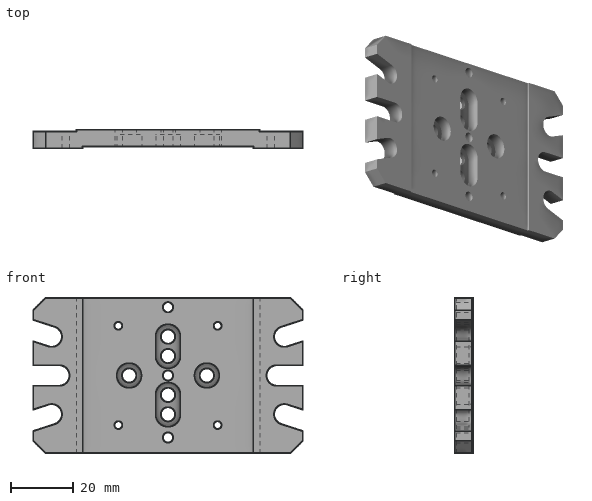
import cadquery as cq

length = 87.0
thickness = 6.0
height = 50.0
corner_chamfer = 4.0

step_depth = 0.5
front_recess_width = 55.0
back_pad_width = 59.2

notch_width = 6.5
middle_notch_inset = 8.4
outer_notch_inset = 6.0
outer_notch_height = 12.5
outer_notch_angle = 18.0

screw_diameter = 4.5
pocket_width = 8.0
pocket_depth = 4.0
screw_offset = 12.5
screw_pitch = screw_offset / 2

small_diameter = 2.4
small_offset = 16.0
pin_diameter = 3.2
upper_pin_height = 22.0
lower_pin_height = -20.0

front_y = -thickness / 2
floor_y = front_y + step_depth
back_y = thickness / 2
cut_length = 2 * thickness


def bar(width, y_start, y_end):
    """Full-height block centred on X between two Y positions."""
    return (
        cq.Workplane("XY")
        .box(width, y_end - y_start, height)
        .translate((0, (y_start + y_end) / 2, 0))
    )


def through_holes(diameter, points):
    """Cylinders along Y passing through the whole plate."""
    return (
        cq.Workplane("XZ")
        .pushPoints(points)
        .circle(diameter / 2)
        .extrude(cut_length / 2, both=True)
    )


def notch(side, inset, z_center, angle):
    """Round-bottomed notch whose axis leaves the end face at the given angle."""
    reach = 2 * inset
    cutter = (
        cq.Workplane("XY")
        .box(reach, cut_length, notch_width)
        .translate((-reach / 2, 0, 0))
        .union(through_holes(notch_width, [(0, 0)]))
        .rotate((0, 0, 0), (0, 1, 0), angle)
        .translate((inset - length / 2, 0, z_center))
    )
    return cutter if side < 0 else cutter.mirror("YZ")


plate = bar(length, front_y, back_y - step_depth)
plate = plate.union(bar(back_pad_width, floor_y, back_y))
plate = plate.edges("|Y").edges("<X or >X").chamfer(corner_chamfer)
plate = plate.cut(bar(front_recess_width, front_y, floor_y))

for side in (-1, 1):
    plate = plate.cut(notch(side, middle_notch_inset, 0, 0))
    for direction in (-1, 1):
        plate = plate.cut(
            notch(side, outer_notch_inset, direction * outer_notch_height, direction * outer_notch_angle)
        )

pocket_plane = cq.Workplane("XZ", origin=(0, floor_y, 0))
side_screws = [(-screw_offset, 0), (screw_offset, 0)]
plate = plate.cut(pocket_plane.pushPoints(side_screws).circle(pocket_width / 2).extrude(-pocket_depth))
slot_center = screw_offset - screw_pitch / 2
slot_centers = [(0, -slot_center), (0, slot_center)]
plate = plate.cut(
    pocket_plane.pushPoints(slot_centers)
    .slot2D(screw_pitch + pocket_width, pocket_width, 90)
    .extrude(-pocket_depth)
)

column_screws = [(0, sign * z) for sign in (-1, 1) for z in (screw_pitch, screw_offset)]
small_holes = [(x, z) for x in (-small_offset, small_offset) for z in (-small_offset, small_offset)]
pin_holes = [(0, lower_pin_height), (0, 0), (0, upper_pin_height)]
plate = plate.cut(through_holes(screw_diameter, side_screws + column_screws))
plate = plate.cut(through_holes(small_diameter, small_holes))
plate = plate.cut(through_holes(pin_diameter, pin_holes))

result = plate